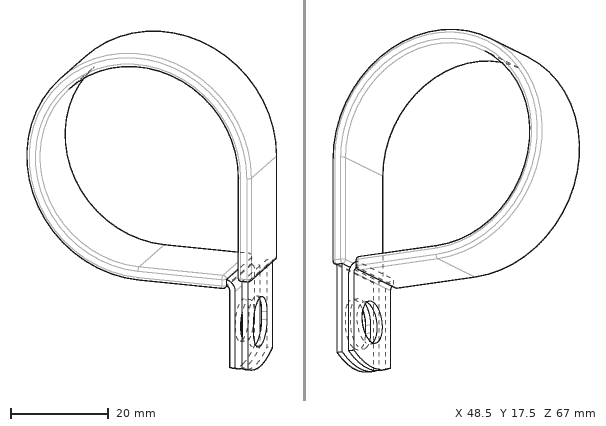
import cadquery as cq
import math

loop_diameter = 48.45
clamp_width = 17.5
total_height = 67.0

strap_thickness = 1.2
cushion_thickness = 0.8
cushion_rounding = 0.75

side_leg_end = 22.3
bottom_leg_end = 18.8

front_tab_outer = 20.7
bend_inner_radius = 1.2
hole_diameter = 8.7
rear_slot_length = 10.45
hole_height = 9.6
tip_bulge = 1.75

outer_radius = loop_diameter / 2
inner_radius = outer_radius - strap_thickness - 2 * cushion_thickness
strap_outer = outer_radius - cushion_thickness
strap_inner = strap_outer - strap_thickness
strap_width = clamp_width - 2 * cushion_thickness
bend_outer_radius = bend_inner_radius + strap_thickness
bend_center_x = front_tab_outer - bend_outer_radius
front_tab_inner = front_tab_outer - strap_thickness
bend_center_z = -strap_inner - bend_outer_radius
tip_z = outer_radius - total_height
shoulder_z = tip_z + tip_bulge
mid_angle = math.radians(135)


def arc_middle(radius):
    """Middle point of the three-quarter loop arc."""
    return radius * math.cos(mid_angle), radius * math.sin(mid_angle)


def extrude_centered(profile, width):
    """Extrude an XZ profile symmetrically about Y = 0."""
    return profile.extrude(width / 2, both=True)


def make_cushion():
    """Teardrop-shaped sleeve with rounded sides and leg ends."""
    profile = (
        cq.Workplane("XZ")
        .moveTo(outer_radius, -side_leg_end)
        .lineTo(outer_radius, 0)
        .threePointArc(arc_middle(outer_radius), (0, -outer_radius))
        .lineTo(bottom_leg_end, -outer_radius)
        .lineTo(bottom_leg_end, -inner_radius)
        .lineTo(0, -inner_radius)
        .threePointArc(arc_middle(inner_radius), (inner_radius, 0))
        .lineTo(inner_radius, -side_leg_end)
        .close()
    )
    sleeve = extrude_centered(profile, clamp_width)
    middle_radius = (outer_radius + inner_radius) / 2
    side_end = sleeve.faces(cq.NearestToPointSelector((middle_radius, 0, -side_leg_end)))
    bottom_end = sleeve.faces(cq.NearestToPointSelector((bottom_leg_end, 0, -middle_radius)))
    rounded_edges = (
        sleeve.faces("<Y or >Y").edges()
        .add(side_end.edges("|Y"))
        .add(bottom_end.edges("|Y"))
    )
    return rounded_edges.fillet(cushion_rounding)


def make_rear_tab():
    """Straight strap end below the side leg, anchored inside the cushion."""
    profile = (
        cq.Workplane("XZ")
        .moveTo(strap_inner, 0)
        .lineTo(strap_outer, 0)
        .lineTo(strap_outer, tip_z)
        .lineTo(strap_inner, tip_z)
        .close()
    )
    return extrude_centered(profile, strap_width)


def make_front_tab():
    """Strap end that leaves the bottom leg and bends down into a tab."""
    bend_sin = math.sin(math.radians(45))
    bend_mid_outer = (
        bend_center_x + bend_outer_radius * bend_sin,
        bend_center_z + bend_outer_radius * bend_sin,
    )
    bend_mid_inner = (
        bend_center_x + bend_inner_radius * bend_sin,
        bend_center_z + bend_inner_radius * bend_sin,
    )
    profile = (
        cq.Workplane("XZ")
        .moveTo(0, -strap_inner)
        .lineTo(bend_center_x, -strap_inner)
        .threePointArc(bend_mid_outer, (front_tab_outer, bend_center_z))
        .lineTo(front_tab_outer, tip_z)
        .lineTo(front_tab_inner, tip_z)
        .lineTo(front_tab_inner, bend_center_z)
        .threePointArc(bend_mid_inner, (bend_center_x, -strap_outer))
        .lineTo(0, -strap_outer)
        .close()
    )
    return extrude_centered(profile, strap_width)


def make_tab_outline():
    """Block along X with the bowed tip shape that trims both tabs."""
    return (
        cq.Workplane("YZ")
        .moveTo(-strap_width / 2, 0)
        .lineTo(-strap_width / 2, shoulder_z)
        .threePointArc((0, tip_z), (strap_width / 2, shoulder_z))
        .lineTo(strap_width / 2, 0)
        .close()
        .extrude(outer_radius)
    )


def bolt_hole_plane():
    """Workplane across the tabs, centered on the bolt axis."""
    return cq.Workplane("YZ").center(0, tip_z + hole_height)


rear_slot = bolt_hole_plane().slot2D(rear_slot_length, hole_diameter, 90).extrude(outer_radius)
front_hole = bolt_hole_plane().circle(hole_diameter / 2).extrude(outer_radius)
rear_tab = make_rear_tab().cut(rear_slot)
front_tab = make_front_tab().cut(front_hole)

tabs = rear_tab.union(front_tab).intersect(make_tab_outline())
result = make_cushion().union(tabs)